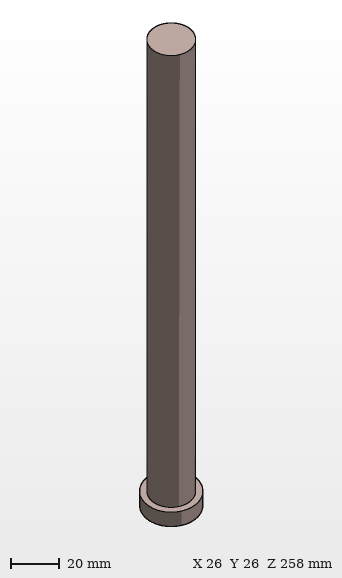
import cadquery as cq

total_length = 258.0
head_diameter = 26.0
head_height = 8.0
shank_diameter = 20.0
shank_length = total_length - head_height

head = cq.Workplane("XY").circle(head_diameter / 2).extrude(head_height)

shank = (
    cq.Workplane("XY")
    .workplane(offset=head_height)
    .circle(shank_diameter / 2)
    .extrude(shank_length)
)

result = head.union(shank)